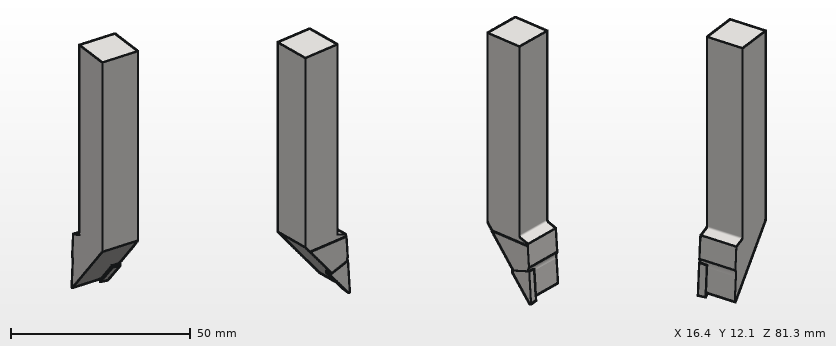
import cadquery as cq
import math

total_length = 81.35
total_width = 16.35
shank_width = 11.9
shank_depth = 11.9
land_height = 0.2
head_depth = shank_depth + land_height

shank_left = total_width - shank_width
slant_top = 20.5
shoulder_root_z = 20.2
shoulder_fillet = 0.65
land_top = 18.5

flank_top_x = 1.3
flank_top_z = 19.1
flank_angle = 4.0
groove_top = 11.7
groove_bottom = 9.5
groove_radius = 2.8
flank_recess = 0.4
nose_x = 0.8
nose_z = 1.5
nose_flat = 0.3

insert_depth = 2.4
insert_relief = 5.0
insert_top = 10.6
insert_tip_x = 0.5
insert_tip_z = 0.25
insert_heel_x = 7.0
insert_heel_top = 8.55
insert_heel_bottom = 7.9


def flank_x(z):
    """X of the inclined head flank at height z."""
    return flank_top_x - (flank_top_z - z) * math.tan(math.radians(flank_angle))


def xz_plane(y):
    """Sketch plane facing -Y at the given Y; extruding runs toward -Y."""
    return cq.Workplane("XZ", origin=(0, y, 0))


def groove_midpoint(start, end):
    """Middle of the concave arc that bows toward +X between two points."""
    run_x = end[0] - start[0]
    run_z = end[1] - start[1]
    chord = math.hypot(run_x, run_z)
    sagitta = groove_radius - math.sqrt(groove_radius**2 - (chord / 2) ** 2)
    middle_x = (start[0] + end[0]) / 2 - sagitta * run_z / chord
    middle_z = (start[1] + end[1]) / 2 + sagitta * run_x / chord
    return middle_x, middle_z


def make_insert():
    """Cutting plate, tapering away from its +Y face for edge relief."""
    outline = [
        (insert_tip_x, 0),
        (insert_heel_x, insert_heel_bottom),
        (insert_heel_x, insert_heel_top),
        (flank_x(insert_top), insert_top),
        (0, insert_tip_z),
    ]
    plate = xz_plane(head_depth).polyline(outline).close()
    return plate.extrude(insert_depth, taper=insert_relief)


def make_holder(insert):
    """Square shank with a slanted, grooved head and a pocket for the insert."""
    groove_start = (flank_x(groove_top), groove_top)
    groove_end = (flank_x(groove_bottom) + flank_recess, groove_bottom)
    body = (
        xz_plane(head_depth)
        .moveTo(shank_left, total_length)
        .lineTo(total_width, total_length)
        .lineTo(total_width, slant_top)
        .lineTo(nose_x, nose_z)
        .lineTo(flank_x(nose_z + nose_flat) + flank_recess, nose_z + nose_flat)
        .lineTo(*groove_end)
        .threePointArc(groove_midpoint(groove_start, groove_end), groove_start)
        .lineTo(flank_top_x, flank_top_z)
        .lineTo(shank_left, shoulder_root_z)
        .close()
        .extrude(head_depth)
    )

    corner = cq.selectors.NearestToPointSelector((shank_left, head_depth / 2, shoulder_root_z))
    body = body.edges(corner).fillet(shoulder_fillet)

    above_land = cq.Workplane("XY").box(
        total_width, land_height, total_length - land_top, centered=False
    ).translate((0, shank_depth, land_top))
    return body.cut(above_land).cut(insert)


insert = make_insert()
holder = make_holder(insert)
result = cq.Compound.makeCompound([holder.val(), insert.val()])